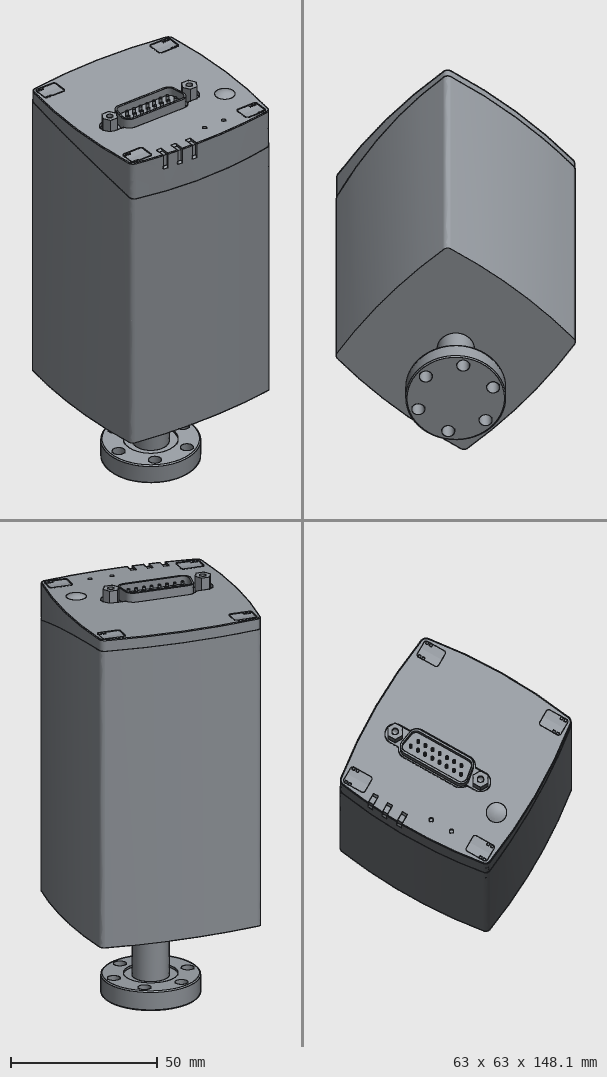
import cadquery as cq
import math

total_height = 148.1
flange_height = 7.3
housing_bottom = 31.2
cap_top = 144.1

housing_width = 63.0
housing_half = housing_width / 2
corner_reach = 29.2
housing_corner_radius = 1.9
cap_inset = 0.07
cap_corner_radius = 2.2
cap_edge_chamfer = 0.3

joint_left_z = 140.0
joint_drop = 11.0
joint_radius = (housing_width**2 + joint_drop**2) / (2 * joint_drop)

tube_diameter = 12.7
flange_diameter = 34.0
flange_chamfer = 0.5
flange_recess_diameter = 18.7
flange_recess_depth = 0.7
bolt_circle = 27.0
bolt_hole_diameter = 4.5
bolt_count = 6
first_bolt_angle = 30.0

connector_x = 5.0
connector_y = -4.1
connector_recess_depth = 1.5
shell_width = 9.8
shell_length = 27.3
shell_top = 147.0
shell_wall = 0.7
shell_corner_radius = 2.8
shell_clearance = 0.81
shell_end_slant = 10.0
pin_diameter = 1.0
pin_height = 2.4
pin_tip_chamfer = 0.3
pin_pitch = 2.8
pin_row_spacing = 2.7
long_row_pins = 8
short_row_pins = 7
screw_spacing = 33.5
screw_seat_diameter = 7.0
hex_across_corners = 5.8
screw_hole_diameter = 2.2
screw_hole_depth = 1.5
screw_hole_cone_height = 0.7

button_x = 11.7
button_y = 22.7
button_diameter = 7.0
button_rise = 0.9
indicator_x = 24.9
indicator_ys = (12.6, 4.6)
indicator_diameter = 1.5
indicator_depth = 1.5

pad_x = 25.2
pad_y = 24.0
pad_width = 6.2
pad_length = 8.3
pad_corner_radius = 0.9
pad_side_depth = 0.3
pad_middle_depth = 0.5

notch_size = 0.9
notch_depth = 0.9
notch_end_gaps = (1.0, 2.5)

groove_ys = (-4.3, -10.2, -16.0)
groove_width = 1.9
groove_depth = 0.7
groove_run = 4.0
groove_drop = 5.8


def bulged_prism(half, corner, radius, bottom, top):
    """Prism whose four sides are shallow arcs meeting at rounded corners."""
    return (
        cq.Workplane("XY")
        .workplane(offset=bottom)
        .moveTo(-corner, -corner)
        .threePointArc((0, -half), (corner, -corner))
        .threePointArc((half, 0), (corner, corner))
        .threePointArc((0, half), (-corner, corner))
        .threePointArc((-half, 0), (-corner, -corner))
        .close()
        .extrude(top - bottom)
        .edges("|Z")
        .fillet(radius)
    )


def below_joint():
    """Everything under the curved joint surface, extended past the housing."""
    reach = housing_width
    joint_right_z = joint_left_z - joint_drop
    half_angle = math.asin(housing_width / joint_radius) / 2
    middle_x = -housing_half + joint_radius * math.sin(half_angle)
    middle_z = joint_left_z - joint_radius * (1 - math.cos(half_angle))
    return (
        cq.Workplane("XZ")
        .moveTo(-reach, 0)
        .lineTo(-reach, joint_left_z)
        .lineTo(-housing_half, joint_left_z)
        .threePointArc((middle_x, middle_z), (housing_half, joint_right_z))
        .lineTo(reach, joint_right_z)
        .lineTo(reach, 0)
        .close()
        .extrude(reach, both=True)
    )


def housing_with_cap():
    joint = below_joint()
    housing = bulged_prism(
        housing_half, corner_reach, housing_corner_radius, housing_bottom, cap_top
    ).intersect(joint)
    cap = bulged_prism(
        housing_half - cap_inset, corner_reach - cap_inset, cap_corner_radius, housing_bottom, cap_top
    )
    cap = cap.faces(">Z").chamfer(cap_edge_chamfer).cut(joint)
    return housing.union(cap)


def tube_and_flange():
    flange = cq.Workplane("XY").circle(flange_diameter / 2).extrude(flange_height)
    flange = flange.faces("<Z or >Z").edges().chamfer(flange_chamfer)
    flange = (
        flange.faces(">Z")
        .workplane()
        .polarArray(bolt_circle / 2, first_bolt_angle, 360, bolt_count)
        .hole(bolt_hole_diameter)
    )
    flange = (
        flange.faces(">Z").workplane().hole(flange_recess_diameter, flange_recess_depth)
    )
    tube = cq.Workplane("XY").circle(tube_diameter / 2).extrude(housing_bottom)
    return flange.union(tube)


def connector_plane(z):
    return cq.Workplane("XY", origin=(connector_x, connector_y, z))


def d_prism(margin, bottom, top):
    """D-shaped prism with its long side toward +X, grown outward by a margin."""
    half_width = shell_width / 2 + margin
    long_half = shell_length / 2 + margin
    short_half = long_half - 2 * half_width * math.tan(math.radians(shell_end_slant))
    return (
        connector_plane(bottom)
        .polyline(
            [
                (half_width, -long_half),
                (half_width, long_half),
                (-half_width, short_half),
                (-half_width, -short_half),
            ]
        )
        .close()
        .extrude(top - bottom)
        .edges("|Z")
        .fillet(shell_corner_radius + margin)
    )


def connector_recess():
    floor_z = cap_top - connector_recess_depth
    screw_seats = (
        connector_plane(floor_z)
        .slot2D(screw_spacing + screw_seat_diameter, screw_seat_diameter, 90)
        .extrude(connector_recess_depth)
    )
    return d_prism(shell_clearance, floor_z, cap_top).union(screw_seats)


def connector():
    floor_z = cap_top - connector_recess_depth
    shell = d_prism(0, floor_z, shell_top).cut(d_prism(-shell_wall, cap_top, shell_top))
    hole_cone = cq.Workplane(
        cq.Solid.makeCone(
            0,
            screw_hole_diameter / 2,
            screw_hole_cone_height,
            pnt=cq.Vector(0, 0, total_height - screw_hole_depth - screw_hole_cone_height),
        )
    )
    hex_screw = (
        cq.Workplane("XY", origin=(0, 0, floor_z))
        .polygon(6, hex_across_corners)
        .extrude(total_height - floor_z)
        .faces(">Z")
        .workplane()
        .hole(screw_hole_diameter, screw_hole_depth)
        .cut(hole_cone)
        .rotate((0, 0, 0), (0, 0, 1), 90)
    )
    body = shell
    for end in (-1, 1):
        screw_y = connector_y + end * screw_spacing / 2
        body = body.union(hex_screw.translate((connector_x, screw_y, 0)))
    for side, count in ((1, long_row_pins), (-1, short_row_pins)):
        pin_x = side * pin_row_spacing / 2
        row_start = -(count - 1) / 2 * pin_pitch
        pins = (
            connector_plane(cap_top)
            .pushPoints([(pin_x, row_start + index * pin_pitch) for index in range(count)])
            .circle(pin_diameter / 2)
            .extrude(pin_height)
            .faces(">Z")
            .chamfer(pin_tip_chamfer)
        )
        body = body.union(pins)
    return body


def button():
    """Shallow spherical dome."""
    radius = button_diameter / 2
    sphere_radius = (radius**2 + button_rise**2) / (2 * button_rise)
    dome = cq.Workplane("XY").sphere(sphere_radius)
    dome = dome.translate((button_x, button_y, cap_top + button_rise - sphere_radius))
    keep = (
        cq.Workplane("XY", origin=(button_x, button_y, cap_top - button_rise))
        .circle(radius)
        .extrude(2 * button_rise)
    )
    return dome.intersect(keep)


def indicator_holes():
    return (
        cq.Workplane("XY", origin=(0, 0, cap_top))
        .pushPoints([(indicator_x, y) for y in indicator_ys])
        .circle(indicator_diameter / 2)
        .extrude(-indicator_depth)
    )


def corner_pads():
    """One pocket per corner, its floor dipping to a line along Y."""
    half_width = pad_width / 2
    pad = (
        cq.Workplane("XZ")
        .polyline(
            [
                (-half_width, 0),
                (-half_width, -pad_side_depth),
                (0, -pad_middle_depth),
                (half_width, -pad_side_depth),
                (half_width, 0),
            ]
        )
        .close()
        .extrude(pad_length / 2, both=True)
        .edges("|Z")
        .fillet(pad_corner_radius)
    )
    notch_x = (pad_width - notch_size) / 2
    notches = (
        cq.Workplane("XY")
        .pushPoints([(side * notch_x, pad_length / 2 - gap) for side in (-1, 1) for gap in notch_end_gaps])
        .rect(notch_size, notch_size)
        .extrude(-notch_depth)
    )
    right_back = pad.union(notches).translate((pad_x, pad_y, cap_top))
    back_pair = right_back.union(right_back.mirror("YZ"))
    return back_pair.union(back_pair.mirror("XZ"))


def edge_groove(y):
    """Groove along the cap top and down its +X side, following the bulge at this Y."""
    bulge_radius = (corner_reach**2 + (housing_half - corner_reach) ** 2) / (
        2 * (housing_half - corner_reach)
    )
    side_x = housing_half - cap_inset - bulge_radius + math.sqrt(bulge_radius**2 - y**2)
    inner_x = side_x - groove_run
    bottom_z = cap_top - groove_drop
    return (
        cq.Workplane("XZ", origin=(0, y, 0))
        .moveTo(inner_x, cap_top)
        .lineTo(inner_x + groove_depth, cap_top - groove_depth)
        .lineTo(side_x - groove_depth, cap_top - groove_depth)
        .lineTo(side_x - groove_depth, bottom_z + groove_depth)
        .lineTo(side_x, bottom_z)
        .lineTo(housing_width, bottom_z)
        .lineTo(housing_width, cap_top)
        .close()
        .extrude(groove_width / 2, both=True)
    )


result = housing_with_cap().union(tube_and_flange())
result = result.cut(connector_recess()).union(connector()).union(button())
result = result.cut(indicator_holes()).cut(corner_pads())
for groove_y in groove_ys:
    result = result.cut(edge_groove(groove_y))